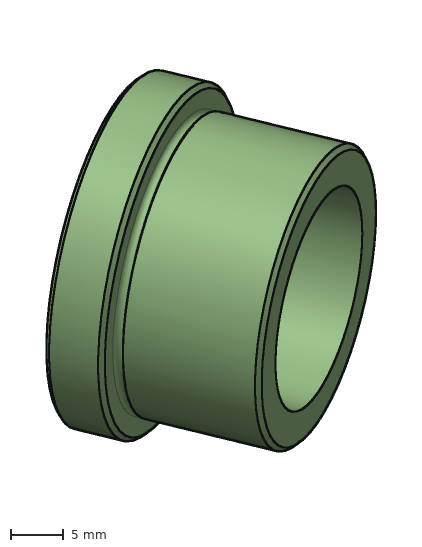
import cadquery as cq

total_length = 21
flange_length = 6.0
flange_diameter = 35
body_diameter = 30.0
bore_diameter = 22.0
outer_chamfer = 0.5
bore_chamfer = 0.2
groove_width = 1.0

flange_radius = flange_diameter / 2
body_radius = body_diameter / 2
bore_radius = bore_diameter / 2
groove_radius = groove_width / 2
flange_start = -total_length / 2
flange_end = flange_start + flange_length
body_end = total_length / 2


def bushing_profile():
    """Half section in the XY plane: X along the axis, Y as the radius."""
    return (
        cq.Workplane("XY")
        .moveTo(flange_start, bore_radius + bore_chamfer)
        .lineTo(flange_start, flange_radius - outer_chamfer)
        .lineTo(flange_start + outer_chamfer, flange_radius)
        .lineTo(flange_end - outer_chamfer, flange_radius)
        .lineTo(flange_end, flange_radius - outer_chamfer)
        .lineTo(flange_end, body_radius)
        .threePointArc(
            (flange_end + groove_radius, body_radius - groove_radius),
            (flange_end + groove_width, body_radius),
        )
        .lineTo(body_end - outer_chamfer, body_radius)
        .lineTo(body_end, body_radius - outer_chamfer)
        .lineTo(body_end, bore_radius)
        .lineTo(flange_start + bore_chamfer, bore_radius)
        .close()
    )


result = bushing_profile().revolve(360, (0, 0, 0), (1, 0, 0))